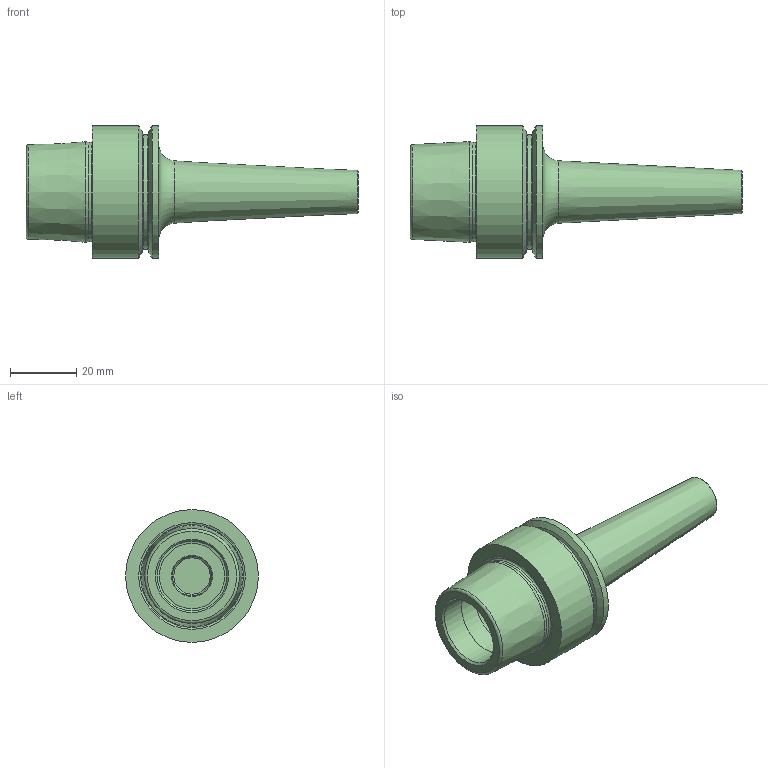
import cadquery as cq
import math


total_length = 100.0
shoulder_x = 20.0
flange_end_x = 40.0
flange_radius = 20.0

gauge_x = 15.0
gauge_radius = 15.0
taper_slope = 0.05
taper_end_x = 17.8
nose_inner_radius = 13.45
nose_length = 0.75

neck_radius = 14.92
neck_start_x = 18.85
relief_start_x = 19.7
relief_bottom_radius = 15.5
relief_outer_radius = 16.05
relief_depth = 0.2

groove_centre_x = 35.96
groove_top_width = 4.2
groove_shoulder_width = 2.02
groove_bottom_width = 1.42
groove_shoulder_radius = 18.2
groove_radius = 17.2

tip_radius = 6.5
tip_chamfer = 0.3
stem_angle = math.radians(3.0)
root_fillet_radius = 5.0

bore_radius = 10.45
bore_mouth_radius = 11.0
bore_mouth_depth = 0.65
clamp_edge_x = 7.9
clamp_angle = math.radians(60.0)
cavity_radius = 11.5
cavity_floor_x = 16.3
cavity_floor_radius = 9.8

hole_radius = 5.45
hole_cone_radius = 5.95
hole_mouth_radius = 6.2
hole_cone_length = 1.0
hole_depth = 10.0


def taper_radius(x):
    return gauge_radius + taper_slope * (x - gauge_x)


def stem_radius(x):
    return tip_radius + (total_length - x) * math.tan(stem_angle)


def revolve(profile):
    return profile.close().revolve(360, (0, 0, 0), (1, 0, 0))


def body():
    nose_end_radius = taper_radius(nose_length)
    nose_middle = (
        nose_length * (1 - math.cos(math.pi / 4)),
        nose_inner_radius + (nose_end_radius - nose_inner_radius) * math.sin(math.pi / 4),
    )
    fillet_centre_x = flange_end_x + root_fillet_radius
    fillet_centre_radius = stem_radius(fillet_centre_x) + root_fillet_radius / math.cos(stem_angle)
    fillet_end_angle = math.pi / 2 - stem_angle

    def fillet_point(angle):
        return (
            fillet_centre_x - root_fillet_radius * math.cos(angle),
            fillet_centre_radius - root_fillet_radius * math.sin(angle),
        )

    chamfer_x = total_length - tip_chamfer
    profile = (
        cq.Workplane("XY")
        .moveTo(0, 0)
        .lineTo(0, nose_inner_radius)
        .threePointArc(nose_middle, (nose_length, nose_end_radius))
        .lineTo(taper_end_x, taper_radius(taper_end_x))
        .lineTo(neck_start_x, neck_radius)
        .lineTo(relief_start_x, neck_radius)
        .tangentArcPoint((shoulder_x + relief_depth, relief_bottom_radius), relative=False)
        .lineTo(shoulder_x, relief_outer_radius)
        .lineTo(shoulder_x, flange_radius)
        .lineTo(groove_centre_x - groove_top_width / 2, flange_radius)
        .lineTo(groove_centre_x - groove_shoulder_width / 2, groove_shoulder_radius)
        .lineTo(groove_centre_x - groove_bottom_width / 2, groove_radius)
        .lineTo(groove_centre_x + groove_bottom_width / 2, groove_radius)
        .lineTo(groove_centre_x + groove_shoulder_width / 2, groove_shoulder_radius)
        .lineTo(groove_centre_x + groove_top_width / 2, flange_radius)
        .lineTo(flange_end_x, flange_radius)
        .lineTo(flange_end_x, fillet_centre_radius)
        .threePointArc(fillet_point(fillet_end_angle / 2), fillet_point(fillet_end_angle))
        .lineTo(chamfer_x, stem_radius(chamfer_x))
        .lineTo(total_length, tip_radius - tip_chamfer)
        .lineTo(total_length, 0)
    )
    return revolve(profile)


def clamping_bore():
    cavity_start_x = clamp_edge_x + (cavity_radius - bore_radius) / math.tan(clamp_angle)
    floor_fillet = cavity_radius - cavity_floor_radius
    profile = (
        cq.Workplane("XY")
        .moveTo(0, 0)
        .lineTo(0, bore_mouth_radius)
        .lineTo(bore_mouth_depth, bore_radius)
        .lineTo(clamp_edge_x, bore_radius)
        .lineTo(cavity_start_x, cavity_radius)
        .lineTo(cavity_floor_x - floor_fillet, cavity_radius)
        .tangentArcPoint((cavity_floor_x, cavity_floor_radius), relative=False)
        .lineTo(cavity_floor_x, 0)
    )
    return revolve(profile)


def floor_hole():
    cone_start_x = cavity_floor_x + hole_mouth_radius - hole_cone_radius
    hole_end_x = cavity_floor_x + hole_depth
    profile = (
        cq.Workplane("XY")
        .moveTo(cavity_floor_x, 0)
        .lineTo(cavity_floor_x, hole_mouth_radius)
        .lineTo(cone_start_x, hole_cone_radius)
        .lineTo(cone_start_x + hole_cone_length, hole_radius)
        .lineTo(hole_end_x, hole_radius)
        .lineTo(hole_end_x, 0)
    )
    return revolve(profile)


result = body().cut(clamping_bore()).cut(floor_hole())